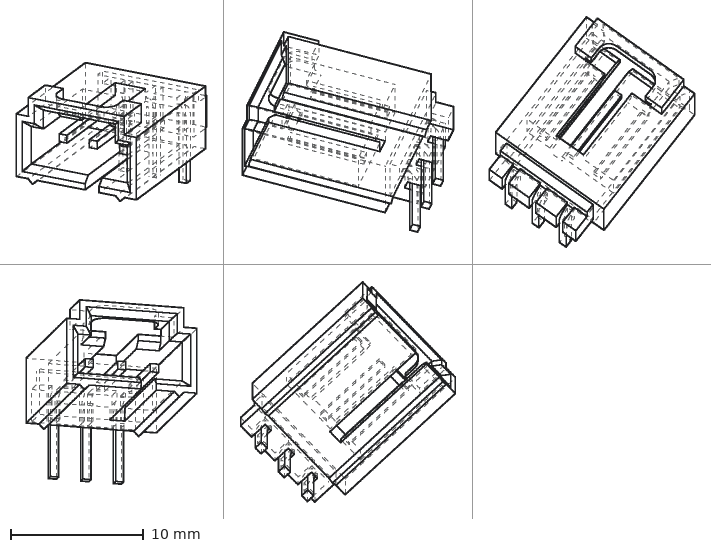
import cadquery as cq


body_width = 10.17
body_depth = 11.42
body_height = 5.08
wall = 1.02
lip = 0.5
entry_bevel = wall - lip
cavity_depth = 8.89

hood_width = body_width - 2 * wall
hood_depth = 2.8
hood_top = 6.6
notch_width = 5.08
notch_front = 0.91
notch_radius = 0.95

roof_slot_width = 2.54
floor_slot_width = 1.17
floor_slot_x = 1.33

total_depth = 13.59
step_depth = 12.18
step_top = 4.32
rear_top = 3.32
rear_bottom = 0.77

pin_count = 3
pin_pitch = 2.54
pin_size = 0.64
pin_z = body_height / 2
pin_drop = 3.68
pin_bend_radius = 1.33
leg_setback = 0.38

rib_x = 3.7
rib_height = 0.38

pin_xs = [(i - (pin_count - 1) / 2) * pin_pitch for i in range(pin_count)]


def block(width, y_start, y_end, z_bottom, z_top, x=0):
    """Box centred on x across the width."""
    return (
        cq.Workplane("XY")
        .box(width, y_end - y_start, z_top - z_bottom, centered=(True, False, False))
        .translate((x, y_start, z_bottom))
    )


def stepped_outline(margin):
    """Corners of the housing-and-hood outline, moved inward by margin."""
    half_body = body_width / 2 - margin
    half_hood = hood_width / 2 - margin
    right = [
        (half_body, margin),
        (half_body, body_height - margin),
        (half_hood, body_height - margin),
        (half_hood, hood_top - margin),
    ]
    left = [(-x, z) for x, z in reversed(right)]
    return right + left


def make_shell():
    body = block(body_width, 0, body_depth, 0, body_height)
    hood = block(hood_width, 0, hood_depth, 0, hood_top)
    cavity = block(body_width - 2 * wall, 0, cavity_depth, wall, body_height - wall)
    hood_opening = cq.Workplane("XZ").polyline(stepped_outline(wall)).close().extrude(-hood_depth)
    lead_in = (
        cq.Workplane("XZ").polyline(stepped_outline(lip)).close()
        .workplane(offset=-entry_bevel).polyline(stepped_outline(wall)).close()
        .loft(ruled=True)
    )
    return body.union(hood).cut(cavity).cut(hood_opening).cut(lead_in)


def make_roof_bevel():
    """Lead-in under the front edge of the roof, between the hood sides."""
    width = hood_width - 2 * wall
    roof_bottom = body_height - wall
    return (
        cq.Workplane("YZ").workplane(offset=-width / 2)
        .moveTo(hood_depth, roof_bottom)
        .lineTo(hood_depth, roof_bottom + entry_bevel)
        .lineTo(hood_depth + entry_bevel, roof_bottom)
        .close().extrude(width)
    )


def make_hood_notch():
    """Finger notch in the hood roof, rounded at its front corners."""
    notch = block(notch_width, notch_front, hood_depth, body_height, hood_top)
    return notch.edges("|Z and <Y").fillet(notch_radius)


def make_rear_block():
    step = block(hood_width, body_depth, step_depth, rear_bottom, step_top)
    holder = block(hood_width, step_depth, total_depth, rear_bottom, rear_top)
    rear = step.union(holder)
    for x in pin_xs:
        rear = rear.cut(block(pin_size, step_depth, total_depth, rear_bottom, rear_top, x))
    return rear


def make_rib(x):
    return (
        cq.Workplane("XZ")
        .polyline([(x - rib_height, 0), (x + rib_height, 0), (x, -rib_height)])
        .close().extrude(-body_depth)
    )


def make_pin(x):
    """Square pin running back from the cavity, then bent down through its slot."""
    leg_back = total_depth - leg_setback
    leg_centre = leg_back - pin_size / 2
    bend = pin_bend_radius - pin_size / 2
    path = (
        cq.Workplane("YZ").workplane(offset=x)
        .moveTo(hood_depth, pin_z)
        .lineTo(leg_centre - bend, pin_z)
        .radiusArc((leg_centre, pin_z - bend), bend)
        .lineTo(leg_centre, -pin_drop)
    )
    section = cq.Workplane("XZ", origin=(x, hood_depth, pin_z)).rect(pin_size, pin_size)
    return section.sweep(path)


shell = make_shell().cut(make_roof_bevel()).cut(make_hood_notch())
shell = shell.cut(block(roof_slot_width, hood_depth, cavity_depth, body_height - wall, body_height))
shell = shell.cut(block(floor_slot_width, 0, cavity_depth, 0, wall, floor_slot_x))

result = shell.union(make_rear_block())
for side in (-1, 1):
    result = result.union(make_rib(side * rib_x))
for pin_x in pin_xs:
    result = result.union(make_pin(pin_x))